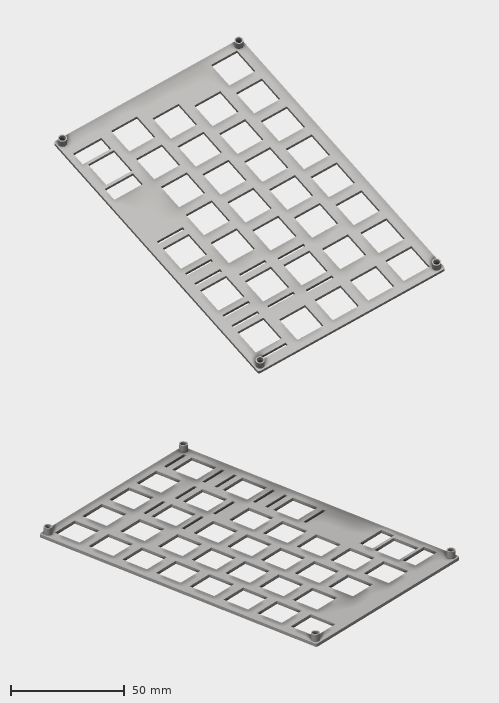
import cadquery as cq

PLATE_LENGTH = 156.8
PLATE_WIDTH = 100.5
PLATE_THICKNESS = 1.5
PLATE_CORNER_RADIUS = 1.0

TOTAL_HEIGHT = 5.2
STANDOFF_HEIGHT = TOTAL_HEIGHT - PLATE_THICKNESS
STANDOFF_DIAMETER = 4.0
SCREW_HOLE_DIAMETER = 3.0
STANDOFF_INSET = 2.8

TOP_ROW_SPAN = 133.3
TOP_ROW_KEYS = 8
KEY_PITCH = TOP_ROW_SPAN / (TOP_ROW_KEYS - 1)
SWITCH_SIZE = 14.0

SLOT_WIDTH = 1.5
SLOT_OFFSET = 10.8
WINDOW_WIDTH = 7.4
WINDOW_HEIGHT = 15.2
WINDOW_OFFSET = 12.0
WINDOW_DROP = 1.3

KEY_ROWS = [
    (2, [-3.5, -2.5, -1.5, -0.5, 0.5, 1.5, 2.5, 3.5], []),
    (1, [-2.75, -1.75, -0.75, 0.25, 1.25, 2.375, 3.5], []),
    (0, [-3, -2, -1, 0, 1, 3.5], [2.25]),
    (-1, [-3.25, -2.25, -1.25, -0.25, 0.75, 3.5], [2.125]),
    (-2, [], [0.25, 1.75, 3.25]),
]

WINDOWED_KEY_COLUMN = -2.75
WINDOWED_KEY_ROW = -2


def key_center(column, row):
    return column * KEY_PITCH, row * KEY_PITCH


def beside(centers, offset, drop=0.0):
    """Points at equal distances left and right of each center."""
    return [(x + side * offset, y - drop) for x, y in centers for side in (-1, 1)]


def cut_rectangles(plate, centers, width, height):
    cutters = (
        cq.Workplane("XY")
        .pushPoints(centers)
        .rect(width, height)
        .extrude(PLATE_THICKNESS)
    )
    return plate.cut(cutters)


def standoff_centers():
    x = PLATE_LENGTH / 2 - STANDOFF_INSET
    y = PLATE_WIDTH / 2 - STANDOFF_INSET
    return [(x * side_x, y * side_y) for side_x in (-1, 1) for side_y in (-1, 1)]


def make_plate():
    plain_keys = [key_center(column, row) for row, plain, _ in KEY_ROWS for column in plain]
    slotted_keys = [key_center(column, row) for row, _, slotted in KEY_ROWS for column in slotted]
    windowed_keys = [key_center(WINDOWED_KEY_COLUMN, WINDOWED_KEY_ROW)]
    all_keys = plain_keys + slotted_keys + windowed_keys

    plate = (
        cq.Workplane("XY")
        .box(PLATE_LENGTH, PLATE_WIDTH, PLATE_THICKNESS, centered=(True, True, False))
        .edges("|Z")
        .fillet(PLATE_CORNER_RADIUS)
    )
    plate = cut_rectangles(plate, all_keys, SWITCH_SIZE, SWITCH_SIZE)
    plate = cut_rectangles(plate, beside(slotted_keys, SLOT_OFFSET), SLOT_WIDTH, SWITCH_SIZE)
    windows = beside(windowed_keys, WINDOW_OFFSET, WINDOW_DROP)
    plate = cut_rectangles(plate, windows, WINDOW_WIDTH, WINDOW_HEIGHT)

    screw_holes = (
        cq.Workplane("XY")
        .pushPoints(standoff_centers())
        .circle(SCREW_HOLE_DIAMETER / 2)
        .extrude(PLATE_THICKNESS)
    )
    return plate.cut(screw_holes)


def make_standoff(center):
    """Plain tube standing on the plate, its bore in line with the screw hole."""
    return (
        cq.Workplane("XY", origin=(*center, PLATE_THICKNESS))
        .circle(STANDOFF_DIAMETER / 2)
        .circle(SCREW_HOLE_DIAMETER / 2)
        .extrude(STANDOFF_HEIGHT)
    )


plate = make_plate()
standoffs = [make_standoff(center) for center in standoff_centers()]

result = cq.Compound.makeCompound([plate.val(), *[standoff.val() for standoff in standoffs]])